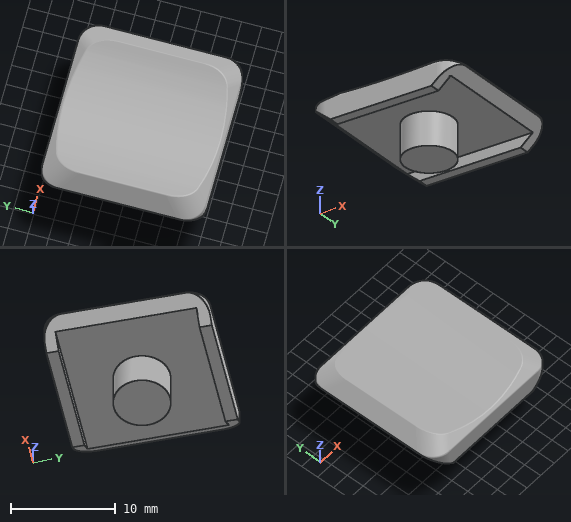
import cadquery as cq
import math

cap_length = 17.0
cap_width = 16.15
corner_radius = 2.0

skirt_bottom = 2.55
recess_depth = 1.2
rim_height = 4.86
dish_floor = 5.14

slope_angle = 40.0
slope = math.tan(math.radians(slope_angle))
slanted_edge_radius = 3.5

dish_radius = 23.0

edge_radius = 0.2
rim_round_drop = edge_radius * math.tan(math.radians(90 - slope_angle) / 2)

skirt_thickness = 1.2
stem_diameter = 5.5
recess_ceiling = skirt_bottom + recess_depth

crown_height = 8.0
rim_corner_dip = 0.03


def rounded_plate():
    """Upright plate with the cap outline, taller than the finished cap."""
    return (
        cq.Workplane("XY", origin=(0, 0, skirt_bottom))
        .rect(cap_length, cap_width)
        .extrude(crown_height - skirt_bottom)
        .edges("|Z")
        .fillet(corner_radius)
    )


def sloped_envelope():
    """Four-sided frustum through the rim outline, with its slanted edges rounded."""
    widening = 2 * (rim_height - skirt_bottom) / slope
    frustum = (
        cq.Workplane("XY", origin=(0, 0, skirt_bottom))
        .rect(cap_length + widening, cap_width + widening)
        .extrude(crown_height - skirt_bottom, taper=90 - slope_angle)
    )
    return frustum.edges("not (#Z)").fillet(slanted_edge_radius)


def dish_cylinder():
    return (
        cq.Workplane("XZ", origin=(0, 0, dish_floor + dish_radius))
        .circle(dish_radius)
        .extrude(cap_width, both=True)
    )


def round_rim(body):
    """Round the closed edge where the upright wall meets the sloped sides."""
    rim = [edge for edge in body.edges().vals() if abs(edge.Center().z - rim_height) < rim_corner_dip]
    return body.newObject(rim).fillet(edge_radius)


def round_dish_border(body):
    cylinders = body.faces("%CYLINDER").vals()
    dish_face = max(cylinders, key=lambda face: face.Area())
    return body.newObject([dish_face]).edges().fillet(edge_radius)


def undercut(side):
    """Wedge under one X end (side = -1 or 1), leaving a face that slopes inward and down."""
    rim_x = side * cap_length / 2
    undercut_top = rim_height - rim_round_drop
    run = (undercut_top - skirt_bottom) / slope
    return (
        cq.Workplane("XZ")
        .polyline([(rim_x, undercut_top), (rim_x, skirt_bottom), (rim_x - side * run, skirt_bottom)])
        .close()
        .extrude(cap_width, both=True)
    )


def recess():
    """Channel along X, open at both ends, between the two skirts."""
    return (
        cq.Workplane("XY", origin=(0, 0, skirt_bottom))
        .rect(cap_length, cap_width - 2 * skirt_thickness)
        .extrude(recess_depth)
    )


def make_cap():
    body = rounded_plate().intersect(sloped_envelope()).cut(dish_cylinder())
    body = round_dish_border(round_rim(body))
    for side in (-1, 1):
        body = body.cut(undercut(side))
    return body.cut(recess())


def make_stem():
    """Round stem standing against the ceiling of the recess."""
    return cq.Workplane("XY").circle(stem_diameter / 2).extrude(recess_ceiling)


cap = make_cap()
stem = make_stem()

result = cq.Compound.makeCompound([cap.val(), stem.val()])